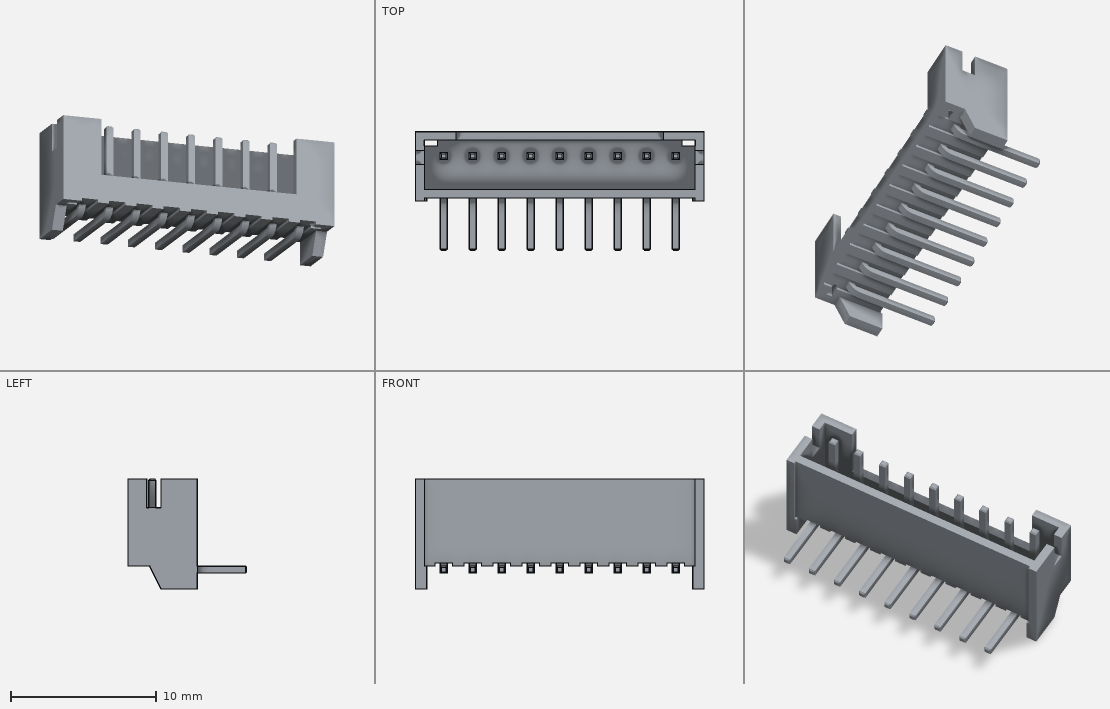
import cadquery as cq


LENGTH = 19.9
WALL = 0.6
END_WALL = 0.62
PANEL_FRONT = -4.6
END_FRONT = -4.8
BODY_BOTTOM = -6.0
FLOOR_TOP = -5.0

FOOT_WIDTH = 0.8
FOOT_BOTTOM = -7.6
FOOT_ROOT_BACK = -1.5
FOOT_TIP_BACK = -2.29

SLOT_BACK = -1.31
SLOT_FRONT = -2.29
SLOT_DEPTH = 1.99
WINDOW_INSET = 2.79
WINDOW_DEPTH = 4.0
CORNER_HOLE_X = 0.9
CORNER_HOLE_Y = 0.4
NOTCH_WIDTH = 1.2
NOTCH_DEPTH = 0.2

PIN_COUNT = 9
PIN_ROW_LENGTH = 16.0
PIN_SIZE = 0.5
PIN_Y = -1.7
PIN_TIP_Y = -8.2
BEND_INNER_RADIUS = 0.2
BEND_OUTER_RADIUS = 1.0
TIP_CHAMFER = 0.1

HALF_LENGTH = LENGTH / 2
PIN_PITCH = PIN_ROW_LENGTH / (PIN_COUNT - 1)
PIN_POSITIONS = [(i - (PIN_COUNT - 1) / 2) * PIN_PITCH for i in range(PIN_COUNT)]


def box_between(x_range, y_range, z_range):
    """Axis-aligned box spanning the given (low, high) limits."""
    x0, x1 = x_range
    y0, y1 = y_range
    z0, z1 = z_range
    return cq.Workplane("XY").box(x1 - x0, y1 - y0, z1 - z0, centered=False).translate((x0, y0, z0))


def make_shell():
    """Open-topped box whose end walls stand proud of the front wall."""
    shell = box_between((-HALF_LENGTH, HALF_LENGTH), (END_FRONT, 0), (BODY_BOTTOM, 0))
    inner_half = HALF_LENGTH - END_WALL
    front_recess = box_between((-inner_half, inner_half), (END_FRONT, PANEL_FRONT), (BODY_BOTTOM, 0))
    cavity = box_between((-inner_half, inner_half), (PANEL_FRONT + WALL, -WALL), (FLOOR_TOP, 0))
    return shell.cut(front_recess).cut(cavity)


def make_foot(x_start):
    """Tapered foot below an end wall, running from x_start towards +X."""
    profile = [
        (END_FRONT, BODY_BOTTOM),
        (FOOT_ROOT_BACK, BODY_BOTTOM),
        (FOOT_TIP_BACK, FOOT_BOTTOM),
        (END_FRONT, FOOT_BOTTOM),
    ]
    return cq.Workplane("YZ", origin=(x_start, 0, 0)).polyline(profile).close().extrude(FOOT_WIDTH)


def make_housing(pins):
    """Shell with feet, openings and a matching hole for every pin."""
    housing = make_shell()
    for x_start in (-HALF_LENGTH, HALF_LENGTH - FOOT_WIDTH):
        housing = housing.union(make_foot(x_start))

    housing = housing.cut(
        box_between((-HALF_LENGTH, HALF_LENGTH), (SLOT_FRONT, SLOT_BACK), (-SLOT_DEPTH, 0))
    )

    window_half = HALF_LENGTH - WINDOW_INSET
    housing = housing.cut(box_between((-window_half, window_half), (-WALL, 0), (-WINDOW_DEPTH, 0)))

    hole_outer = HALF_LENGTH - END_WALL
    hole_inner = hole_outer - CORNER_HOLE_X
    for x_range in ((-hole_outer, -hole_inner), (hole_inner, hole_outer)):
        housing = housing.cut(
            box_between(x_range, (-WALL - CORNER_HOLE_Y, -WALL), (BODY_BOTTOM, FLOOR_TOP))
        )

    for x in PIN_POSITIONS:
        housing = housing.cut(
            box_between(
                (x - NOTCH_WIDTH / 2, x + NOTCH_WIDTH / 2),
                (PANEL_FRONT, 0),
                (BODY_BOTTOM, BODY_BOTTOM + NOTCH_DEPTH),
            )
        )

    for pin in pins:
        housing = housing.cut(pin)
    return housing


def make_pin(x):
    """Square pin bent at a right angle, with both tips chamfered."""
    back = PIN_Y + PIN_SIZE / 2
    front = PIN_Y - PIN_SIZE / 2
    leg_top = BODY_BOTTOM
    leg_bottom = leg_top - PIN_SIZE
    profile = [
        (back, 0),
        (front, 0),
        (front, leg_top),
        (PIN_TIP_Y, leg_top),
        (PIN_TIP_Y, leg_bottom),
        (back, leg_bottom),
    ]
    pin = (
        cq.Workplane("YZ", origin=(x - PIN_SIZE / 2, 0, 0))
        .polyline(profile)
        .close()
        .extrude(PIN_SIZE)
    )
    pin = pin.faces(">Z").chamfer(TIP_CHAMFER)
    pin = pin.faces("<Y").chamfer(TIP_CHAMFER)

    inner_corner = cq.selectors.NearestToPointSelector((x, front, leg_top))
    pin = pin.edges(inner_corner).fillet(BEND_INNER_RADIUS)
    outer_corner = cq.selectors.NearestToPointSelector((x, back, leg_bottom))
    return pin.edges(outer_corner).fillet(BEND_OUTER_RADIUS)


pins = [make_pin(x) for x in PIN_POSITIONS]
housing = make_housing(pins)

result = cq.Compound.makeCompound([housing.val(), *[pin.val() for pin in pins]])